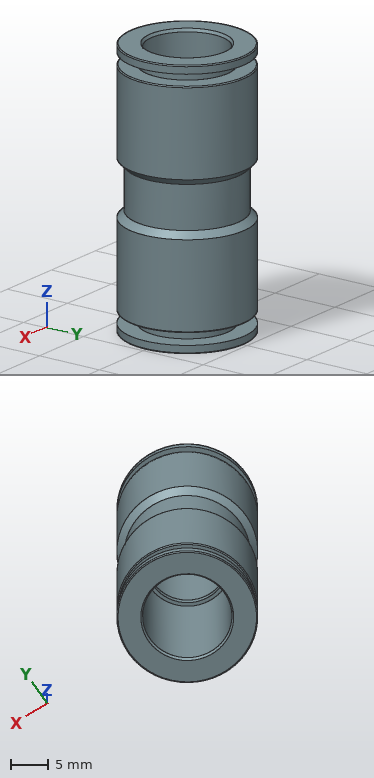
import cadquery as cq

length = 41.0
outer_diameter = 19.0

collar_thickness = 1.25
neck_diameter = 13.5
neck_length = 1.75
edge_chamfer = 0.15

waist_diameter = 17.0
waist_length = 6.55

tube_diameter = 12.0
stop_diameter = 11.0
stop_length = 1.0
mouth_width = 0.25
mouth_depth = 0.45

half_length = length / 2
outer_radius = outer_diameter / 2
neck_radius = neck_diameter / 2
waist_radius = waist_diameter / 2
tube_radius = tube_diameter / 2
stop_radius = stop_diameter / 2
shoulder_chamfer = outer_radius - waist_radius

collar_inner_z = half_length - collar_thickness
body_end_z = collar_inner_z - neck_length
waist_end_z = waist_length / 2
stop_end_z = stop_length / 2

upper_profile = [
    (stop_radius, stop_end_z),
    (tube_radius, stop_end_z),
    (tube_radius, half_length - mouth_depth),
    (tube_radius + mouth_width, half_length),
    (outer_radius - edge_chamfer, half_length),
    (outer_radius, half_length - edge_chamfer),
    (outer_radius, collar_inner_z),
    (neck_radius, collar_inner_z),
    (neck_radius, body_end_z),
    (outer_radius - edge_chamfer, body_end_z),
    (outer_radius, body_end_z - edge_chamfer),
    (outer_radius, waist_end_z + shoulder_chamfer),
    (waist_radius, waist_end_z),
]
lower_profile = [(radius, -z) for radius, z in reversed(upper_profile)]

section = cq.Workplane("XZ").polyline(upper_profile + lower_profile).close()
result = section.revolve(360, (0, 0, 0), (0, 1, 0))